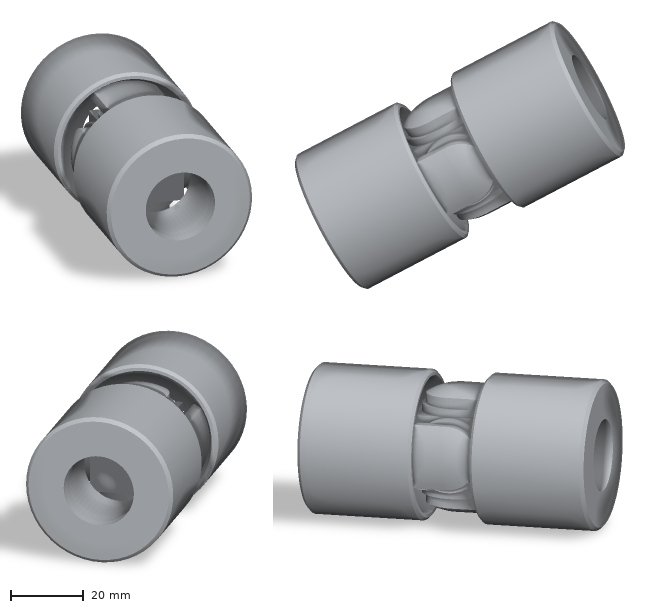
import cadquery as cq


overall_length = 82.0
hub_diameter = 42.0
bore_diameter = 20.0
hub_gap = 16.7
outer_chamfer = 1.0
inner_chamfer = 0.8
block_size = 21.0
boss_height = 2.1
ear_radius = 18.0
ear_width = 18.0
ear_tip_offset = 0.3

half_length = overall_length / 2
hub_radius = hub_diameter / 2
bore_radius = bore_diameter / 2
hub_face = hub_gap / 2
block_half = block_size / 2
ear_inner_face = block_half + boss_height
ear_half_width = ear_width / 2
socket_radius = hub_radius


def make_hub():
    """Chamfered hub at the -X end, with a through bore and a spherical socket."""
    hub = (
        cq.Workplane("YZ", origin=(-half_length, 0, 0))
        .circle(hub_radius)
        .extrude(half_length - hub_face)
    )
    hub = hub.faces("<X").chamfer(outer_chamfer)
    hub = hub.faces(">X").chamfer(inner_chamfer)
    bore = cq.Workplane("YZ", origin=(-half_length, 0, 0)).circle(bore_radius).extrude(half_length)
    socket = cq.Workplane("XY").sphere(socket_radius)
    return hub.cut(bore).cut(socket)


def make_ear():
    """One ear on the +Z side, reaching from inside the hub to just past the pivot axis."""
    tip = ear_tip_offset + ear_half_width
    blade = (
        cq.Workplane("XY", origin=(0, 0, ear_inner_face))
        .moveTo(-socket_radius, -ear_half_width)
        .lineTo(ear_tip_offset, -ear_half_width)
        .threePointArc((tip, 0), (ear_tip_offset, ear_half_width))
        .lineTo(-socket_radius, ear_half_width)
        .close()
        .extrude(ear_radius - ear_inner_face)
    )
    shank = cq.Workplane("YZ", origin=(-socket_radius, 0, 0)).circle(ear_radius).extrude(socket_radius)
    envelope = shank.union(cq.Workplane("XY").sphere(ear_radius))
    return blade.intersect(envelope)


def make_yoke():
    """Yoke at the -X end with its two ears above and below the cross."""
    ear = make_ear()
    opposite_ear = ear.rotate((0, 0, 0), (1, 0, 0), 180)
    return make_hub().union(ear).union(opposite_ear)


def make_cross():
    """Cubic block with a round boss under each of the four ears."""
    block = cq.Workplane("XY").box(block_size, block_size, block_size)
    boss = cq.Workplane("XY", origin=(0, 0, block_half)).circle(block_half).extrude(boss_height)
    for angle in (0, 90, 180, 270):
        block = block.union(boss.rotate((0, 0, 0), (1, 0, 0), angle))
    return block


def place_yokes():
    """The second yoke faces the first and is turned a quarter turn about X."""
    yokes = []
    for facing, quarter_turn in ((0, 0), (180, 90)):
        yoke = make_yoke().rotate((0, 0, 0), (0, 0, 1), facing)
        yokes.append(yoke.rotate((0, 0, 0), (1, 0, 0), quarter_turn).solids().val())
    return yokes


cross = make_cross()
yokes = place_yokes()

result = cq.Compound.makeCompound([cross.solids().val(), *yokes])